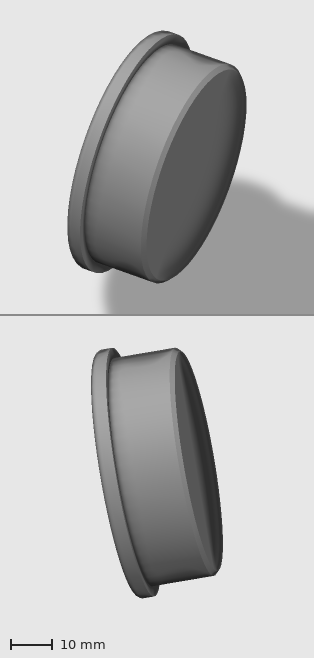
import cadquery as cq

cap_diameter = 60.3
cap_thickness = 4.0
cap_edge_radius = 1.5
total_length = 20.0
body_diameter = 55.35
body_end_chamfer = 1.0

body_length = total_length - cap_thickness


def make_cap():
    """Wide disc with a rounded rim around its outer face."""
    disc = cq.Workplane("YZ").circle(cap_diameter / 2).extrude(cap_thickness)
    return disc.faces("<X").edges().fillet(cap_edge_radius)


def make_body():
    """Narrower cylinder behind the cap, chamfered at its free end."""
    cylinder = (
        cq.Workplane("YZ")
        .workplane(offset=cap_thickness)
        .circle(body_diameter / 2)
        .extrude(body_length)
    )
    return cylinder.faces(">X").edges().chamfer(body_end_chamfer)


result = make_cap().union(make_body())